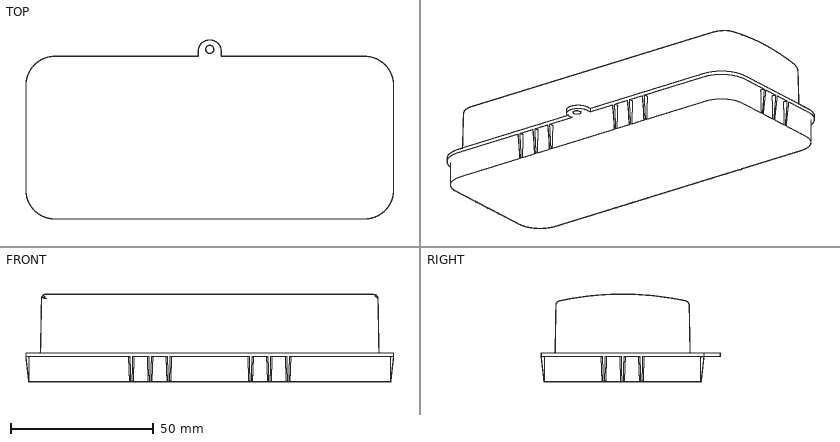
import cadquery as cq

overall_length = 129.54
overall_width = 63.14
overall_height = 30.96

flange_width = 57.4
flange_corner_radius = 10.3
flange_top_z = 10.2
flange_thickness = 1.3
flange_bottom_z = flange_top_z - flange_thickness
tab_radius = 4.1
tab_tip_y = overall_width - flange_width / 2
tab_center_y = tab_tip_y - tab_radius
tab_hole_diameter = 2.8
tab_hole_to_tip = 3.35

skirt_inset = 1.2
skirt_length = overall_length - 2 * skirt_inset
skirt_width = flange_width - 2 * skirt_inset
skirt_corner_radius = flange_corner_radius - skirt_inset
skirt_fillet = 0.4

housing_end_inset = 5.15
housing_side_inset = 4.9
housing_length = overall_length - 2 * housing_end_inset
housing_width = flange_width - 2 * housing_side_inset
housing_corner_radius = 6.0
housing_draft = 1.0
crown_radius = 105.0
crown_edge_fillet = 1.8
housing_base_fillet = 0.3

rib_pitch = 6.6
rib_group_offset = 21.0
rib_top_base_width = 2.0
rib_top_crest_width = 0.9
rib_top_depth = skirt_inset
rib_bottom_base_width = 1.3
rib_bottom_crest_width = 0.5
rib_bottom_depth = 0.2
rib_root_overlap = 0.5


def rounded_block(length, width, height, corner_radius, bottom_z):
    """Upright block with rounded vertical edges, centred on the Z axis."""
    block = cq.Workplane("XY").workplane(offset=bottom_z).rect(length, width).extrude(height)
    return block.edges("|Z").fillet(corner_radius)


def fillet_inner_outline(ring_face, radius):
    """Fillet the shorter, inner outline of a ring-shaped face."""
    inner_outline = ring_face.wires(cq.selectors.LengthNthSelector(0))
    return inner_outline.edges().fillet(radius)


def make_skirt_and_flange():
    """Straight-sided skirt with the flange plate on top and a small fillet between them."""
    skirt = rounded_block(skirt_length, skirt_width, flange_bottom_z, skirt_corner_radius, 0)
    flange = rounded_block(
        overall_length, flange_width, flange_thickness, flange_corner_radius, flange_bottom_z
    )
    body = skirt.union(flange)
    ledge = body.faces("-Z").faces(">Z")
    return fillet_inner_outline(ledge, skirt_fillet)


def flange_workplane(y):
    """Plane at the underside of the flange, centred at the given Y."""
    return cq.Workplane("XY", origin=(0, y, flange_bottom_z))


def make_tab():
    """Round-ended hanging tab on the +Y side, level with the flange."""
    root_length = tab_center_y - housing_width / 2
    root = flange_workplane(tab_center_y - root_length / 2).rect(2 * tab_radius, root_length)
    tip = flange_workplane(tab_center_y).circle(tab_radius)
    return root.extrude(flange_thickness).union(tip.extrude(flange_thickness))


def make_tab_hole():
    hole = flange_workplane(tab_tip_y - tab_hole_to_tip).circle(tab_hole_diameter / 2)
    return hole.extrude(flange_thickness)


def make_housing():
    """Drafted housing whose top is a cylinder along X, with rounded top edges."""
    height = overall_height - flange_top_z
    housing = (
        cq.Workplane("XY")
        .workplane(offset=flange_top_z)
        .rect(housing_length, housing_width)
        .extrude(height, taper=housing_draft)
    )
    upright_edges = housing.edges("not(#Z)")
    housing = upright_edges.fillet(housing_corner_radius)
    crown = (
        cq.Workplane("YZ")
        .center(0, overall_height - crown_radius)
        .circle(crown_radius)
        .extrude(overall_length / 2, both=True)
    )
    housing = housing.intersect(crown)
    return housing.faces(">Z").edges().fillet(crown_edge_fillet)


def rib_section(base_width, crest_width, depth, z):
    """Trapezoid on the XY plane, facing -Y, with its root sunk into the wall at y = 0."""
    return cq.Wire.makePolygon(
        [
            cq.Vector(-base_width / 2, rib_root_overlap, z),
            cq.Vector(-base_width / 2, 0, z),
            cq.Vector(-crest_width / 2, -depth, z),
            cq.Vector(crest_width / 2, -depth, z),
            cq.Vector(base_width / 2, 0, z),
            cq.Vector(base_width / 2, rib_root_overlap, z),
        ],
        close=True,
    )


def make_rib():
    bottom = rib_section(rib_bottom_base_width, rib_bottom_crest_width, rib_bottom_depth, 0)
    top = rib_section(rib_top_base_width, rib_top_crest_width, rib_top_depth, flange_bottom_z)
    return cq.Workplane(cq.Solid.makeLoft([bottom, top], True))


def add_ribs(body):
    """Two rib groups on each long side and one group on each short side."""
    rib = make_rib()
    long_side_rib = rib.translate((0, -skirt_width / 2, 0))
    short_side_rib = rib.translate((0, -skirt_length / 2, 0))
    for step in (-rib_pitch, 0, rib_pitch):
        for turn in (0, 180):
            for group_center in (-rib_group_offset, rib_group_offset):
                placed = long_side_rib.translate((group_center + step, 0, 0))
                body = body.union(placed.rotate((0, 0, 0), (0, 0, 1), turn))
            placed = short_side_rib.translate((step, 0, 0))
            body = body.union(placed.rotate((0, 0, 0), (0, 0, 1), turn + 90))
    return body


def fillet_housing_base(body):
    """Small fillet where the housing walls meet the flange."""
    return fillet_inner_outline(body.faces("+Z"), housing_base_fillet)


body = make_skirt_and_flange().union(make_tab()).union(make_housing())
body = fillet_housing_base(body)
result = add_ribs(body).cut(make_tab_hole())